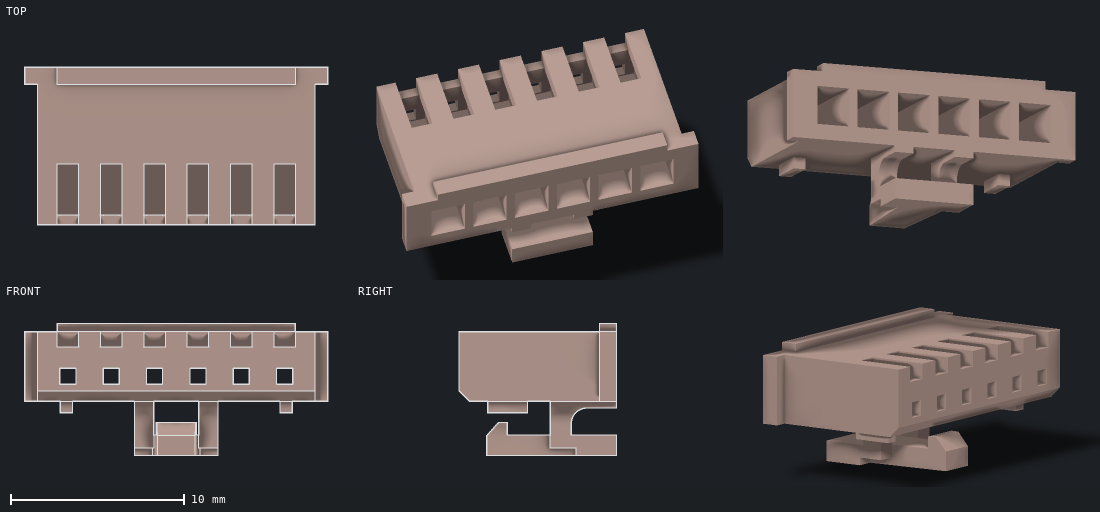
import cadquery as cq


CONTACT_COUNT = 6
PITCH = 2.5
ROW_SPAN = (CONTACT_COUNT - 1) * PITCH
CONTACT_X = [i * PITCH - ROW_SPAN / 2 for i in range(CONTACT_COUNT)]

HOUSING_DEPTH = 9.1
HOUSING_WIDTH = 16.03
HOUSING_HEIGHT = 4.02
FRONT_CHAMFER = 0.61
FLANGE_WIDTH = 17.5
FLANGE_DEPTH = 1.0
WALL = 0.9
FRONT_WALL = 0.56

SLOT_WIDTH = 1.25
SLOT_LENGTH = 3.5
PIN_HOLE = 0.91
PIN_HOLE_BOTTOM = 1.0
CAVITY_WIDTH = 2.0

RIDGE_WIDTH = ROW_SPAN + SLOT_WIDTH
RIDGE_HEIGHT = 0.49

RAIL_WIDTH = 0.72
RAIL_HEIGHT = 0.66
RAIL_LENGTH = 2.31
RAIL_FRONT_SETBACK = 1.66
RAIL_OUTER_SPAN = 13.4

LATCH_HEIGHT = 3.13
LATCH_WIDTH = 4.83
ARM_WIDTH = 1.12
ARM_FRONT = 3.83
ARM_ROOT_HEIGHT = 0.38
ARM_NOTCH_DEPTH = 2.6
ARM_NOTCH_RADIUS = 0.9
PLATE_HEIGHT = 1.2
RELIEF_DEPTH = 1.49
RELIEF_HEIGHT = 0.45

TONGUE_TIP = 7.5
TONGUE_ROOT_WIDTH = 2.76
TONGUE_TIP_WIDTH = 2.17
BARB_DEPTH = 1.2
BARB_HEIGHT = 0.72
BARB_FLAT = 0.5
BARB_NOSE_HEIGHT = 1.15


def box(width, y_rear, y_front, z_bottom, z_top, x=0.0):
    """Block centred on x, from y_rear forward to y_front."""
    return (
        cq.Workplane("XY")
        .box(width, y_rear - y_front, z_top - z_bottom, centered=(True, False, False))
        .translate((x, y_front, z_bottom))
    )


def side_plane(width, x):
    """YZ workplane placed so that an outline extruded by width is centred on x."""
    return cq.Workplane("YZ", origin=(x - width / 2, 0, 0))


def housing_shell():
    body = box(HOUSING_WIDTH, 0, -HOUSING_DEPTH, 0, HOUSING_HEIGHT)
    body = body.faces("<Y").edges("<Z").chamfer(FRONT_CHAMFER)
    flange = box(FLANGE_WIDTH, 0, -FLANGE_DEPTH, 0, HOUSING_HEIGHT)
    ridge = box(RIDGE_WIDTH, 0, -FLANGE_DEPTH, HOUSING_HEIGHT, HOUSING_HEIGHT + RIDGE_HEIGHT)
    return body.union(flange).union(ridge)


def terminal_opening(x):
    """Cavity open at the rear, with a pin hole and a top slot reaching the mating face."""
    slot_rear = SLOT_LENGTH - HOUSING_DEPTH
    cavity = box(CAVITY_WIDTH, 0, FRONT_WALL - HOUSING_DEPTH, WALL, HOUSING_HEIGHT - WALL, x)
    slot = box(SLOT_WIDTH, slot_rear, -HOUSING_DEPTH, HOUSING_HEIGHT - WALL, HOUSING_HEIGHT, x)
    pin_hole = box(
        PIN_HOLE, slot_rear, -HOUSING_DEPTH, PIN_HOLE_BOTTOM, PIN_HOLE_BOTTOM + PIN_HOLE, x
    )
    return cavity.union(slot).union(pin_hole)


def guide_rail(side):
    x = side * (RAIL_OUTER_SPAN - RAIL_WIDTH) / 2
    y_front = RAIL_FRONT_SETBACK - HOUSING_DEPTH
    return box(RAIL_WIDTH, y_front + RAIL_LENGTH, y_front, -RAIL_HEIGHT, 0, x)


def make_housing():
    housing = housing_shell()
    for x in CONTACT_X:
        housing = housing.cut(terminal_opening(x))
    for side in (-1, 1):
        housing = housing.union(guide_rail(side))
    return housing


def latch_arm(side):
    """C-shaped arm with a rounded inner corner at the top of its rear notch."""
    x = side * (LATCH_WIDTH - ARM_WIDTH) / 2
    plate_top = PLATE_HEIGHT - LATCH_HEIGHT
    corner_y = ARM_NOTCH_RADIUS - ARM_NOTCH_DEPTH
    corner_z = -ARM_ROOT_HEIGHT - ARM_NOTCH_RADIUS
    return (
        side_plane(ARM_WIDTH, x)
        .moveTo(0, 0)
        .lineTo(0, -ARM_ROOT_HEIGHT)
        .lineTo(corner_y, -ARM_ROOT_HEIGHT)
        .radiusArc((-ARM_NOTCH_DEPTH, corner_z), -ARM_NOTCH_RADIUS)
        .lineTo(-ARM_NOTCH_DEPTH, plate_top)
        .lineTo(0, plate_top)
        .lineTo(0, -LATCH_HEIGHT)
        .lineTo(-ARM_FRONT, -LATCH_HEIGHT)
        .lineTo(-ARM_FRONT, 0)
        .close()
        .extrude(ARM_WIDTH)
    )


def latch_tongue():
    """Barbed side profile trimmed to a plan that narrows toward the tip."""
    root = -(ARM_FRONT - RELIEF_DEPTH)
    plate_top = PLATE_HEIGHT - LATCH_HEIGHT
    barb_top = plate_top + BARB_HEIGHT
    barb_rear = BARB_DEPTH - TONGUE_TIP
    profile = (
        side_plane(TONGUE_ROOT_WIDTH, 0)
        .polyline([
            (root, -LATCH_HEIGHT),
            (root, plate_top),
            (barb_rear, plate_top),
            (barb_rear, barb_top),
            (barb_rear - BARB_FLAT, barb_top),
            (-TONGUE_TIP, BARB_NOSE_HEIGHT - LATCH_HEIGHT),
            (-TONGUE_TIP, -LATCH_HEIGHT),
        ])
        .close()
        .extrude(TONGUE_ROOT_WIDTH)
    )
    plan = (
        cq.Workplane("XY", origin=(0, 0, -LATCH_HEIGHT))
        .polyline([
            (-TONGUE_ROOT_WIDTH / 2, root),
            (TONGUE_ROOT_WIDTH / 2, root),
            (TONGUE_TIP_WIDTH / 2, -TONGUE_TIP),
            (-TONGUE_TIP_WIDTH / 2, -TONGUE_TIP),
        ])
        .close()
        .extrude(LATCH_HEIGHT)
    )
    return profile.intersect(plan)


def make_latch():
    latch = box(LATCH_WIDTH, 0, -ARM_FRONT, -LATCH_HEIGHT, PLATE_HEIGHT - LATCH_HEIGHT)
    for side in (-1, 1):
        latch = latch.union(latch_arm(side))
    relief = box(
        LATCH_WIDTH, RELIEF_DEPTH - ARM_FRONT, -ARM_FRONT, -LATCH_HEIGHT, RELIEF_HEIGHT - LATCH_HEIGHT
    )
    return latch.cut(relief).union(latch_tongue())


housing = make_housing().solids()
latch = make_latch().solids()

result = cq.Compound.makeCompound([housing.val(), latch.val()])